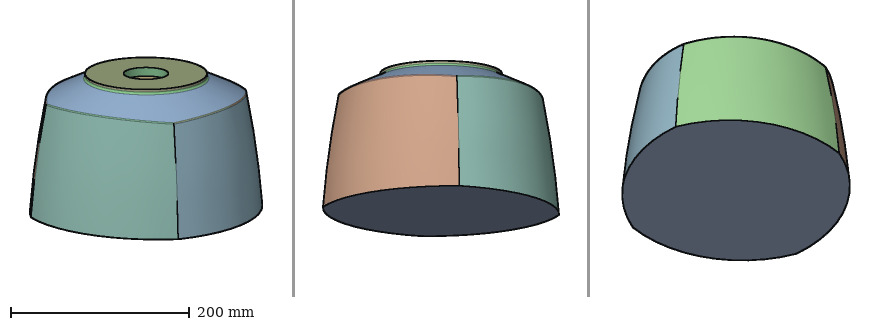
import cadquery as cq
import math

total_height = 157.0
base_width = 252.67

wall_arc_radius = 1100.0
wall_base_lean = 4.35
wall_axis_offset = 29.0
wall_count = 4

neck_foot_height = 152.3
dome_arc_radius = 900.0
dome_edge_radius = 140.0
dome_edge_height = 116.9
rim_fillet = 2.0

neck_radius = 68.2
neck_fillet = 3.0
hole_diameter = 50.0
hole_depth = 10.0

zone_margin = 0.5


def wall_half_width(height):
    """Distance from the centre line to the middle of a wall."""
    lean = math.radians(wall_base_lean)
    centre_x = base_width / 2 - wall_arc_radius * math.cos(lean)
    centre_z = -wall_arc_radius * math.sin(lean)
    return centre_x + math.sqrt(wall_arc_radius**2 - (height - centre_z) ** 2)


def make_wall_body():
    """Barrel-shaped solid whose +X side is one side wall."""
    body = (
        cq.Workplane("XZ")
        .moveTo(-wall_axis_offset, 0)
        .lineTo(base_width / 2, 0)
        .threePointArc(
            (wall_half_width(total_height / 2), total_height / 2),
            (wall_half_width(total_height), total_height),
        )
        .lineTo(-wall_axis_offset, total_height)
        .close()
    )
    return body.revolve(360, (-wall_axis_offset, 0), (-wall_axis_offset, 1))


def make_walls():
    """Common volume of the four wall bodies."""
    wall_body = make_wall_body()
    walls = wall_body
    for index in range(1, wall_count):
        turned = wall_body.rotate((0, 0, 0), (0, 0, 1), index * 360 / wall_count)
        walls = walls.intersect(turned)
    return walls


def make_dome():
    """Body of revolution that caps the walls."""
    return (
        cq.Workplane("XZ")
        .lineTo(dome_edge_radius, 0)
        .lineTo(dome_edge_radius, dome_edge_height)
        .radiusArc((neck_radius, neck_foot_height), -dome_arc_radius)
        .lineTo(0, neck_foot_height)
        .close()
        .revolve(360, (0, 0), (0, 1))
    )


def height_zone(bottom, top):
    """Selector for edges whose centres lie between two heights."""
    reach = base_width
    return cq.selectors.BoxSelector((-reach, -reach, bottom), (reach, reach, top))


def add_rim_fillet(body):
    """Round the edges where the dome meets the walls."""
    rim_zone = height_zone(dome_edge_height, neck_foot_height - zone_margin)
    return body.edges(rim_zone).fillet(rim_fillet)


def add_neck(body):
    """Raise the neck and blend its foot into the dome."""
    neck = cq.Workplane("XY").circle(neck_radius).extrude(total_height)
    foot_zone = height_zone(neck_foot_height - zone_margin, neck_foot_height + zone_margin)
    return body.union(neck).edges(foot_zone).edges("%CIRCLE").fillet(neck_fillet)


def cut_hole(body):
    """Cut the blind hole in the top of the neck."""
    hole = (
        cq.Workplane("XY")
        .workplane(offset=total_height - hole_depth)
        .circle(hole_diameter / 2)
        .extrude(hole_depth)
    )
    return body.cut(hole)


body = make_walls().intersect(make_dome())
body = add_rim_fillet(body)
body = add_neck(body)
result = cut_hole(body)